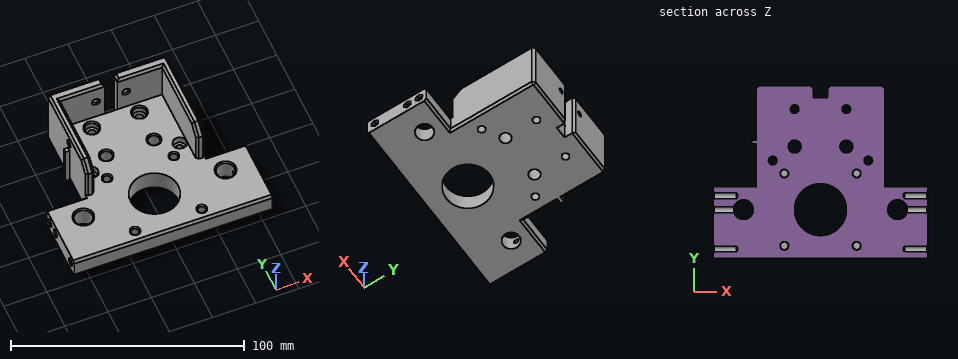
import cadquery as cq
import math


bar_length = 92.0
bar_front = -21.0
bar_rear = 9.8
plate_thickness = 10.0
edge_chamfer = 1.1

tray_width = 55.2
tray_rear = 53.0
total_height = 30.0
side_wall_thickness = 4.0
rear_wall_thickness = 5.0
wall_corner_cut = 5.0
slot_width = 5.8

rib_center_y = 28.9
rib_width = 1.8
rib_projection = 1.9
rib_height = 20.2

bore_diameter = 22.0
motor_hole_offset = 15.5
motor_hole_diameter = 3.4
motor_hole_depth = 8.0

mount_hole_x = 32.9
mount_hole_diameter = 8.2

inner_hole_x = 11.0
dowel_hole_y = 27.0
dowel_hole_diameter = 5.2

screw_diameter = 3.4
screw_head_diameter = 6.1
screw_head_depth = 3.5
rear_screw_y = 43.0
side_screw_x = 20.4
side_screw_y = 21.0

tapped_diameter = 2.5
end_hole_z = 5.15
end_blind_hole_ys = (6.0, -16.8)
end_blind_hole_depth = 10.0
drill_point_angle = 118.0
rear_wall_hole_x = 7.0
rear_wall_hole_z = 20.15
side_wall_hole_z = 24.1

countersink = 0.6

half_bar = bar_length / 2
half_tray = tray_width / 2
half_pocket = half_tray - side_wall_thickness
pocket_rear = tray_rear - rear_wall_thickness
tray_front = bar_rear - edge_chamfer


def block(x_range, y_range, z_range):
    """Box spanning the given coordinate ranges."""
    sizes = [high - low for low, high in (x_range, y_range, z_range)]
    corner = [low for low, high in (x_range, y_range, z_range)]
    return cq.Workplane("XY").box(*sizes, centered=False).translate(tuple(corner))


def drill(start, direction, diameter, depth, flare=countersink, pointed=False):
    """Round cutter from a surface point, with an optional 45 degree flare and drill point."""
    axis = cq.Vector(*direction)
    origin = cq.Vector(*start)
    radius = diameter / 2
    cutter = cq.Workplane(cq.Solid.makeCylinder(radius, depth, origin, axis))
    if flare:
        cutter = cutter.union(cq.Workplane(cq.Solid.makeCone(radius + flare, radius, flare, origin, axis)))
    if pointed:
        point_length = radius / math.tan(math.radians(drill_point_angle / 2))
        tip = cq.Solid.makeCone(radius, 0, point_length, origin + axis * depth, axis)
        cutter = cutter.union(cq.Workplane(tip))
    return cutter


def drill_down(x, y, diameter, depth=plate_thickness, flare=countersink):
    """Cutter going down from the top of the plate."""
    return drill((x, y, plate_thickness), (0, 0, -1), diameter, depth, flare)


def make_bar():
    bar = block((-half_bar, half_bar), (bar_front, bar_rear), (0, plate_thickness))
    return bar.edges("|X").chamfer(edge_chamfer)


def make_tray():
    tray = block((-half_tray, half_tray), (tray_front, tray_rear), (0, plate_thickness))
    tray = tray.edges("|Z and >Y").chamfer(edge_chamfer)
    return tray.faces("<Z").edges("not <Y").chamfer(edge_chamfer)


def slot_cutter():
    """Slot through the rear wall, flared at its rear mouth."""
    half_slot = slot_width / 2
    mouth = half_slot + edge_chamfer
    flare_start = tray_rear - edge_chamfer
    return (
        cq.Workplane("XY")
        .moveTo(-half_slot, pocket_rear)
        .lineTo(half_slot, pocket_rear)
        .lineTo(half_slot, flare_start)
        .lineTo(mouth, tray_rear)
        .lineTo(-mouth, tray_rear)
        .lineTo(-half_slot, flare_start)
        .close()
        .extrude(total_height)
    )


def make_walls():
    walls = block((-half_tray, half_tray), (bar_rear, tray_rear), (plate_thickness, total_height))
    walls = walls.edges(">Z and <Y").chamfer(wall_corner_cut)
    walls = walls.edges("|Z and >Y").chamfer(edge_chamfer)
    pocket = block((-half_pocket, half_pocket), (bar_rear, pocket_rear), (plate_thickness, total_height))
    walls = walls.cut(pocket).cut(slot_cutter())

    sloped = cq.selectors.ParallelDirSelector(cq.Vector(0, -1, 1))
    rim = walls.faces(">Z").edges("not (|X and <Y)")
    rim = rim.add(walls.faces(sloped).edges("not |X"))
    rim = rim.add(walls.faces("<Y").edges("|Z"))
    return rim.chamfer(edge_chamfer)


def make_rib():
    half_rib = rib_width / 2
    return block(
        (-half_tray - rib_projection, -half_pocket),
        (rib_center_y - half_rib, rib_center_y + half_rib),
        (0, rib_height),
    )


def plate_holes(side):
    """Vertical holes on one side of the centre plane."""
    holes = [
        drill_down(side * mount_hole_x, 0, mount_hole_diameter),
        drill_down(side * inner_hole_x, dowel_hole_y, dowel_hole_diameter),
        drill_down(side * inner_hole_x, rear_screw_y, screw_diameter),
        drill_down(side * inner_hole_x, rear_screw_y, screw_head_diameter, screw_head_depth),
        drill_down(side * side_screw_x, side_screw_y, screw_diameter, flare=0),
        drill_down(side * side_screw_x, side_screw_y, screw_head_diameter, screw_head_depth, flare=0),
    ]
    for y in (-motor_hole_offset, motor_hole_offset):
        holes.append(drill_down(side * motor_hole_offset, y, motor_hole_diameter, motor_hole_depth))
    return holes


def horizontal_holes(side):
    """Tapped holes in one bar end and in the rear wall on the same side."""
    inward = (-side, 0, 0)
    end_x = side * half_bar
    holes = [
        drill((end_x, y, end_hole_z), inward, tapped_diameter, end_blind_hole_depth, pointed=True)
        for y in end_blind_hole_ys
    ]
    holes.append(drill((end_x, 0, end_hole_z), inward, tapped_diameter, half_bar - mount_hole_x))
    wall_point = (side * rear_wall_hole_x, pocket_rear, rear_wall_hole_z)
    holes.append(drill(wall_point, (0, 1, 0), tapped_diameter, rear_wall_thickness))
    return holes


result = make_bar().union(make_tray().cut(slot_cutter())).union(make_walls()).union(make_rib())

cutters = [drill_down(0, 0, bore_diameter, flare=0)]
cutters.append(
    drill((-half_tray, rib_center_y, side_wall_hole_z), (1, 0, 0), tapped_diameter, side_wall_thickness)
)
for side in (-1, 1):
    cutters += plate_holes(side)
    cutters += horizontal_holes(side)
for cutter in cutters:
    result = result.cut(cutter)